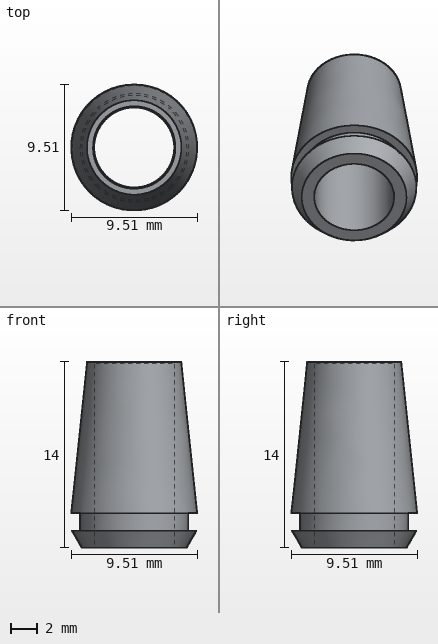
import cadquery as cq

total_height = 14.0
rim_height = 1.29
groove_height = 1.33

taper_base_radius = 4.753
taper_top_radius = 3.55
groove_radius = 4.09
rim_radius = 4.69
base_radius = 3.95

bore_radius = 3.01
recess_radius = 3.11
recess_depth = 0.1

taper_start = rim_height + groove_height

profile = (
    cq.Workplane("YZ")
    .moveTo(bore_radius, 0)
    .lineTo(base_radius, 0)
    .lineTo(rim_radius, rim_height)
    .lineTo(groove_radius, rim_height)
    .lineTo(groove_radius, taper_start)
    .lineTo(taper_base_radius, taper_start)
    .lineTo(taper_top_radius, total_height)
    .lineTo(recess_radius, total_height)
    .lineTo(recess_radius, total_height - recess_depth)
    .lineTo(bore_radius, total_height - recess_depth)
    .close()
)
result = profile.revolve(360, (0, 0, 0), (0, 1, 0))